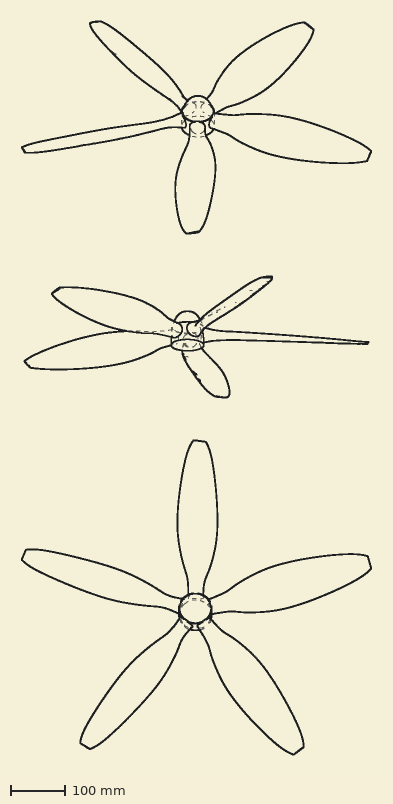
import cadquery as cq
import math


hub_radius = 30.0
hub_bottom = -21.0
hub_shoulder = 13.5
hub_top = 44.0
dome_base_radius = 29.0
dome_middle_radius = 23.0
dome_middle = (hub_shoulder + hub_top) / 2
dome_base_direction = (-0.3, 1)
dome_top_direction = (-1, 0)

blade_count = 5
first_blade_angle = 90.0
shank_radius = 14.0
shank_start = 20.5
shank_end = hub_radius
tip_radius = 335.0
section_point_count = 16

blade_stations = [
    (shank_start, 2 * shank_radius, 2 * shank_radius, 30.0, 0.0),
    (shank_end, 2 * shank_radius, 2 * shank_radius, 30.0, 0.0),
    (51.5, 29.5, 18.0, 36.0, 0.1),
    (64.5, 33.5, 15.5, 33.0, 0.2),
    (80.5, 44.0, 13.5, 30.5, 0.4),
    (109.5, 59.0, 12.0, 28.0, 0.5),
    (142.0, 70.0, 11.0, 26.5, 0.6),
    (187.0, 73.5, 9.5, 25.5, 0.6),
    (238.0, 66.5, 8.5, 24.0, 0.6),
    (290.0, 52.0, 6.5, 20.0, 0.6),
    (319.0, 38.0, 4.0, 16.0, 0.6),
    (tip_radius, 23.0, 2.5, 14.0, 0.6),
]


def make_hub():
    """Cylinder with a rounded nose, revolved about Z."""
    return (
        cq.Workplane("XZ")
        .moveTo(0, hub_bottom)
        .lineTo(hub_radius, hub_bottom)
        .lineTo(hub_radius, hub_shoulder)
        .lineTo(dome_base_radius, hub_shoulder)
        .spline(
            [(dome_middle_radius, dome_middle), (0, hub_top)],
            tangents=[dome_base_direction, dome_top_direction],
            includeCurrent=True,
        )
        .close()
        .revolve(360, (0, 0, 0), (0, 1, 0))
    )


def blade_section(distance, projected_width, thickness, pitch_degrees, nose_fullness):
    """Closed section normal to X: an ellipse made fuller at its raised leading edge."""
    pitch = math.radians(pitch_degrees)
    chord = math.sqrt(projected_width**2 - (thickness * math.sin(pitch)) ** 2) / math.cos(pitch)
    points = []
    for index in range(section_point_count):
        turn = 2 * math.pi * index / section_point_count
        along = chord / 2 * math.cos(turn)
        across = thickness / 2 * math.sin(turn) * (1 + nose_fullness * math.cos(turn))
        points.append(
            cq.Vector(
                distance,
                along * math.cos(pitch) - across * math.sin(pitch),
                along * math.sin(pitch) + across * math.cos(pitch),
            )
        )
    return cq.Wire.assembleEdges([cq.Edge.makeSpline(points, periodic=True)])


def make_blade():
    """One blade along +X, from a round shank to a square-cut tip."""
    sections = [blade_section(*station) for station in blade_stations]
    return cq.Workplane(cq.Solid.makeLoft(sections))


result = make_hub()
blade = make_blade()
for blade_index in range(blade_count):
    blade_angle = first_blade_angle + blade_index * 360 / blade_count
    result = result.union(blade.rotate((0, 0, 0), (0, 0, 1), blade_angle))